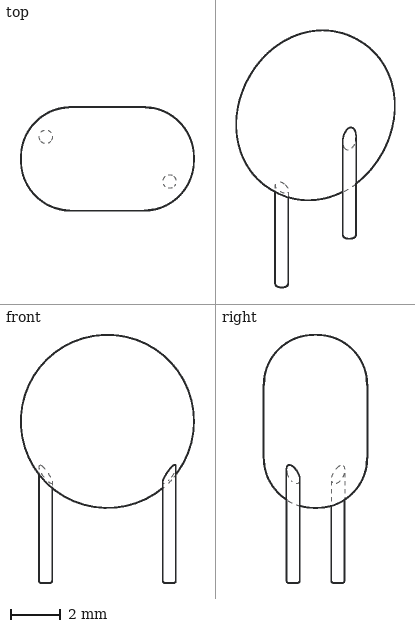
import cadquery as cq

body_diameter = 7.0
body_thickness = 4.2
edge_radius = 2.05

lead_diameter = 0.54
lead_offset_x = 2.5
lead_offset_y = 0.9
lead_tip_radius = 0.1
overall_height = 10.03
lead_bottom_z = body_diameter / 2 - overall_height


def make_body():
    """Disc with both rims rounded, leaving flat faces and a narrow central band."""
    disc = cq.Workplane("XZ").circle(body_diameter / 2).extrude(body_thickness / 2, both=True)
    return disc.edges("%CIRCLE").fillet(edge_radius)


def make_lead(x, y):
    """Vertical lead with a rounded tip, ending inside the body at its mid-height."""
    lead = cq.Workplane("XY", origin=(x, y, lead_bottom_z)).circle(lead_diameter / 2).extrude(-lead_bottom_z)
    return lead.faces("<Z").edges().fillet(lead_tip_radius)


result = make_body()
for side in (-1, 1):
    result = result.union(make_lead(side * lead_offset_x, -side * lead_offset_y))